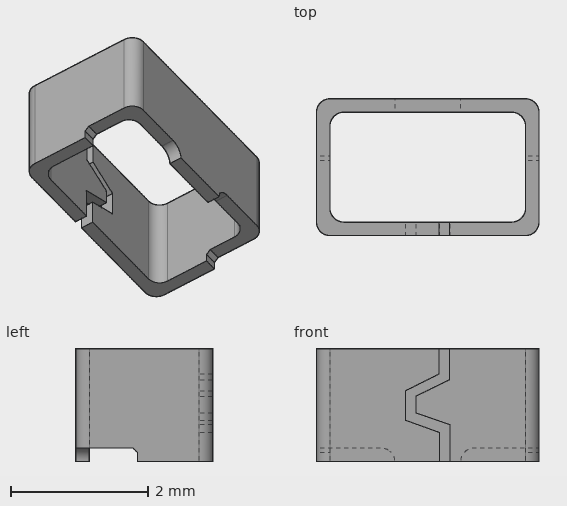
import cadquery as cq

length = 3.25
depth = 2.0
height = 1.65
wall = 0.2
corner_radius = 0.2

seam_gap = 0.15
slot_left_top = 0.165
slot_left_bottom = 0.175
slot_left_nose = -0.325
socket_upper_bend = 1.28
socket_upper_nose = 1.035
socket_lower_nose = 0.605
socket_lower_bend = 0.425
tongue_upper_bend = 1.195
tongue_upper_nose = 0.955
tongue_lower_nose = 0.7125
tongue_lower_bend = 0.54

notch_height = 0.2
notch_front = 0.1
notch_inner = 0.48
side_chamfer = 0.065
back_radius = 0.2

half_length = length / 2
half_depth = depth / 2


def make_band():
    outer = cq.Workplane("XY").rect(length, depth).extrude(height).edges("|Z").fillet(corner_radius)
    opening = (
        cq.Workplane("XY")
        .rect(length - 2 * wall, depth - 2 * wall)
        .extrude(height)
        .edges("|Z")
        .fillet(corner_radius)
    )
    return outer.cut(opening)


def make_seam():
    """Slot that leaves a tongue on the right end and a socket on the left end."""
    socket_side = [
        (slot_left_top, height),
        (slot_left_top, socket_upper_bend),
        (slot_left_nose, socket_upper_nose),
        (slot_left_nose, socket_lower_nose),
        (slot_left_bottom, socket_lower_bend),
        (slot_left_bottom, 0),
    ]
    tongue_side = [
        (slot_left_bottom + seam_gap, 0),
        (slot_left_bottom + seam_gap, tongue_lower_bend),
        (slot_left_nose + seam_gap, tongue_lower_nose),
        (slot_left_nose + seam_gap, tongue_upper_nose),
        (slot_left_top + seam_gap, tongue_upper_bend),
        (slot_left_top + seam_gap, height),
    ]
    front_face = cq.Workplane("XZ", origin=(0, -half_depth, 0))
    return front_face.polyline(socket_side + tongue_side).close().extrude(-wall)


def make_corner_notch():
    """Notch under the +X +Y corner: one arm in the side wall, one in the +Y wall."""
    side_arm = (
        cq.Workplane("YZ", origin=(half_length - wall - corner_radius, 0, 0))
        .moveTo(notch_front, 0)
        .lineTo(notch_front, notch_height - side_chamfer)
        .lineTo(notch_front + side_chamfer, notch_height)
        .lineTo(half_depth, notch_height)
        .lineTo(half_depth, 0)
        .close()
        .extrude(wall + corner_radius)
    )
    back_arm = (
        cq.Workplane("XZ", origin=(0, half_depth, 0))
        .moveTo(notch_inner, 0)
        .radiusArc((notch_inner + back_radius, notch_height), back_radius)
        .lineTo(half_length, notch_height)
        .lineTo(half_length, 0)
        .close()
        .extrude(wall + corner_radius)
    )
    return side_arm.union(back_arm)


corner_notch = make_corner_notch()
result = make_band().cut(make_seam()).cut(corner_notch).cut(corner_notch.mirror("YZ"))